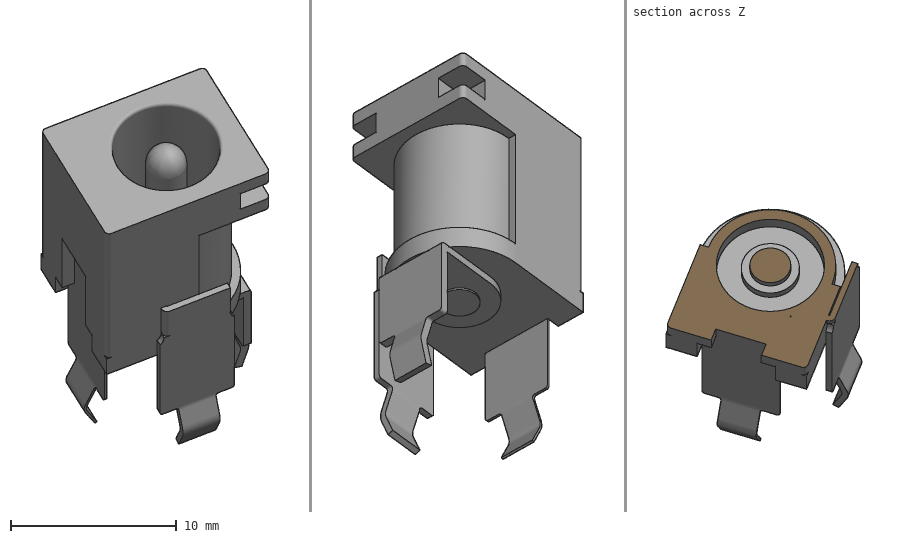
import cadquery as cq
import math


WIDTH = 9.0
FRONT_Y = -6.2
BACK_Y = 4.8
HEIGHT = 13.6
CORNER_RADIUS = 0.32
HEAD_HEIGHT = 3.5
BARREL_DIAMETER = 7.92
FLANGE_HEIGHT = 1.5
NOTCH_SIZE = 2.0
NOTCH_HEIGHT = 1.5
NOTCH_DROP = 1.0

SOCKET_DIAMETER = 6.5
SOCKET_ROUND = 0.2
PIN_DIAMETER = 2.5
PIN_TIP_DROP = 0.32
DOME_MARGIN = 0.0002
PIN_BASE_DIAMETER = 3.5
PIN_BASE_HEIGHT = 0.5
RIVET_DROP = 0.14

BLADE_WIDTH = 5.0
BLADE_BOTTOM = -5.35
BLADE_CORNER = 0.2
TAIL_WIDTH = 2.5
NECK_RADIUS = 0.18
TOTAL_HEIGHT = 22.5
TIP_Z = HEIGHT - TOTAL_HEIGHT
THIN_BEND_Z = -5.35
THICK_BEND_Z = -5.5
PEAK_Z = -7.15
BEND_RADIUS = 0.76

FRONT_THICKNESS = 0.15
FRONT_ANGLE = 25.0
RECESS_DEPTH = 1.0
TONGUE_WIDTH = 3.2
TONGUE_TOP = 6.28

REAR_THICKNESS = 0.55
REAR_OUTER_Y = 4.5
REAR_ANGLE = 16.3
REAR_BEND_RADIUS = 0.27

SIDE_THICKNESS = 0.4
SIDE_GAP = 0.05
SIDE_Y = -0.34
SIDE_ANGLE = 21.6
TAB_WIDTH = 4.45
TAB_TOP = 4.43
TAB_BOTTOM = 2.05
HOOK_INSERTION = 0.4
HOOK_RADIUS = 0.38


def upright_cylinder(diameter, bottom, top):
    return cq.Workplane("XY").workplane(offset=bottom).circle(diameter / 2).extrude(top - bottom)


def block(x_range, y_range, z_range):
    sizes = [high - low for low, high in (x_range, y_range, z_range)]
    corner = (x_range[0], y_range[0], z_range[0])
    return cq.Workplane("XY").box(*sizes, centered=False).translate(corner)


def make_housing():
    half = WIDTH / 2
    head_bottom = HEIGHT - HEAD_HEIGHT
    notch_top = HEIGHT - NOTCH_DROP
    front = block((-half, half), (FRONT_Y, 0), (FLANGE_HEIGHT, HEIGHT))
    head = block((-half, half), (0, BACK_Y), (head_bottom, HEIGHT))
    upper = front.union(head).edges("|Z and (<Y or >Y)").fillet(CORNER_RADIUS)
    base = block((-half, half), (FRONT_Y, 0), (0, FLANGE_HEIGHT))
    barrel = upright_cylinder(BARREL_DIAMETER, 0, head_bottom)
    flange = upright_cylinder(WIDTH, 0, FLANGE_HEIGHT)
    housing = upper.union(base).union(barrel).union(flange)
    for left_x, right_x in ((-half, NOTCH_SIZE - half), (half - NOTCH_SIZE, half)):
        notch = block(
            (left_x, right_x),
            (BACK_Y - NOTCH_SIZE, BACK_Y),
            (notch_top - NOTCH_HEIGHT, notch_top),
        )
        housing = housing.cut(notch)
    socket = upright_cylinder(SOCKET_DIAMETER, FLANGE_HEIGHT, HEIGHT)
    housing = housing.cut(socket)
    socket_rim = cq.selectors.NearestToPointSelector((0, 0, HEIGHT))
    return housing.edges(socket_rim).fillet(SOCKET_ROUND)


def make_pin():
    rivet_bottom = -REAR_THICKNESS - RIVET_DROP
    shank = upright_cylinder(PIN_DIAMETER, rivet_bottom, HEIGHT - PIN_TIP_DROP)
    shank = shank.faces(">Z").edges().fillet(PIN_DIAMETER / 2 - DOME_MARGIN)
    base = upright_cylinder(PIN_BASE_DIAMETER, FLANGE_HEIGHT, FLANGE_HEIGHT + PIN_BASE_HEIGHT)
    return shank.union(base)


def bent_sheet(thickness, angle, bend_z, top):
    """Sheet in XZ with its inner face on y = 0, whose tail kinks toward -Y and returns."""
    half = thickness / 2
    slope = math.tan(math.radians(angle))
    kink_shift = half * math.tan(math.radians(angle / 2))
    peak_offset = half / math.cos(math.radians(angle))
    tip_run = half * math.cos(math.radians(angle))
    tip_rise = half * math.sin(math.radians(angle))
    peak = (bend_z - PEAK_Z) * slope
    tip_z = TIP_Z + tip_rise
    tip = peak - (PEAK_Z - tip_z) * slope

    inner_bend = (-half, bend_z - kink_shift)
    outer_bend = (half, bend_z + kink_shift)
    inner_peak = (peak - peak_offset, PEAK_Z)
    outer_peak = (peak + peak_offset, PEAK_Z)
    outline = [
        (-half, top), inner_bend, inner_peak, (tip - tip_run, tip_z + tip_rise),
        (tip + tip_run, tip_z - tip_rise), outer_peak, outer_bend, (half, top),
    ]
    points = [(-half - outward, z) for outward, z in outline]
    sheet = cq.Workplane("YZ").polyline(points).close().extrude(BLADE_WIDTH / 2, both=True)
    outside_radius = BEND_RADIUS + thickness
    for (outward, z), radius in (
        (inner_bend, outside_radius), (outer_bend, BEND_RADIUS),
        (inner_peak, BEND_RADIUS), (outer_peak, outside_radius),
    ):
        corner = (0, -half - outward, z)
        sheet = sheet.edges(cq.selectors.NearestToPointSelector(corner)).fillet(radius)
    return sheet


def leg(thickness, angle, bend_z, top):
    """Bent sheet trimmed to a wide blade and a narrow tail."""
    depth = 2 * WIDTH
    blade = cq.Workplane("XZ").rect(BLADE_WIDTH, 2 * -BLADE_BOTTOM).extrude(depth, both=True)
    blade = blade.edges("|Y and <Z").fillet(BLADE_CORNER)
    upper = block((-BLADE_WIDTH / 2, BLADE_WIDTH / 2), (-depth, depth), (0, HEIGHT))
    tail = block((-TAIL_WIDTH / 2, TAIL_WIDTH / 2), (-depth, depth), (TIP_Z, 0))
    trim = blade.union(upper).union(tail)
    for side in (-1, 1):
        neck = (side * TAIL_WIDTH / 2, 0, BLADE_BOTTOM)
        trim = trim.edges("|Y").edges(cq.selectors.NearestToPointSelector(neck)).fillet(NECK_RADIUS)
    return bent_sheet(thickness, angle, bend_z, top).intersect(trim)


def make_recess():
    y_range = (FRONT_Y, FRONT_Y + RECESS_DEPTH)
    wide = block((-BLADE_WIDTH / 2, BLADE_WIDTH / 2), y_range, (0, FLANGE_HEIGHT))
    narrow = block((-TONGUE_WIDTH / 2, TONGUE_WIDTH / 2), y_range, (0, TONGUE_TOP))
    return wide.union(narrow)


def make_front_terminal():
    floor_y = FRONT_Y + RECESS_DEPTH
    tongue = block(
        (-TONGUE_WIDTH / 2, TONGUE_WIDTH / 2), (floor_y - FRONT_THICKNESS, floor_y), (0, TONGUE_TOP)
    )
    blade = leg(FRONT_THICKNESS, FRONT_ANGLE, THIN_BEND_Z, FLANGE_HEIGHT).translate((0, floor_y, 0))
    return blade.union(tongue)


def make_rear_terminal():
    foot_half = BLADE_WIDTH / 2
    upright = leg(REAR_THICKNESS, REAR_ANGLE, THICK_BEND_Z, 0).rotate((0, 0, 0), (0, 0, 1), 180)
    upright = upright.translate((0, REAR_OUTER_Y - REAR_THICKNESS, 0))
    foot = block((-foot_half, foot_half), (0, REAR_OUTER_Y), (-REAR_THICKNESS, 0))
    foot = foot.edges(">Y and >Z").fillet(REAR_BEND_RADIUS)
    foot = foot.union(upright_cylinder(BLADE_WIDTH, -REAR_THICKNESS, 0))
    above_bend = block(
        (-foot_half, foot_half),
        (REAR_OUTER_Y - REAR_THICKNESS, REAR_OUTER_Y),
        (-REAR_THICKNESS, 0),
    )
    return upright.cut(above_bend).union(foot)


def make_side_terminal():
    inner_x = WIDTH / 2 + SIDE_GAP
    outer_x = inner_x + SIDE_THICKNESS
    blade_half = BLADE_WIDTH / 2
    tab_half = TAB_WIDTH / 2
    blade = leg(SIDE_THICKNESS, SIDE_ANGLE, THICK_BEND_Z, FLANGE_HEIGHT)
    blade = blade.rotate((0, 0, 0), (0, 0, 1), 90)
    blade = blade.translate((inner_x, SIDE_Y, 0))

    step = blade_half - tab_half
    rise = TAB_BOTTOM - FLANGE_HEIGHT
    shoulder_radius = (step**2 + rise**2) / (2 * step)
    shoulder = (
        cq.Workplane("YZ", origin=(inner_x, SIDE_Y, 0))
        .moveTo(-blade_half, FLANGE_HEIGHT)
        .lineTo(blade_half, FLANGE_HEIGHT)
        .radiusArc((tab_half, TAB_BOTTOM), shoulder_radius)
        .lineTo(-tab_half, TAB_BOTTOM)
        .radiusArc((-blade_half, FLANGE_HEIGHT), shoulder_radius)
        .close()
        .extrude(SIDE_THICKNESS)
    )
    tab_y = (SIDE_Y - tab_half, SIDE_Y + tab_half)
    hook_y = (tab_y[0], tab_y[0] + SIDE_THICKNESS)
    tab = block((inner_x, outer_x), tab_y, (TAB_BOTTOM, TAB_TOP))
    hook = block((WIDTH / 2 - HOOK_INSERTION, outer_x), hook_y, (TAB_BOTTOM, TAB_TOP))
    bent_tab = tab.union(hook).edges("|Z and >X and <Y").fillet(HOOK_RADIUS)
    return blade.union(shoulder).union(bent_tab)


result = (
    make_housing()
    .cut(make_recess())
    .union(make_pin())
    .union(make_front_terminal())
    .union(make_rear_terminal())
    .union(make_side_terminal())
)